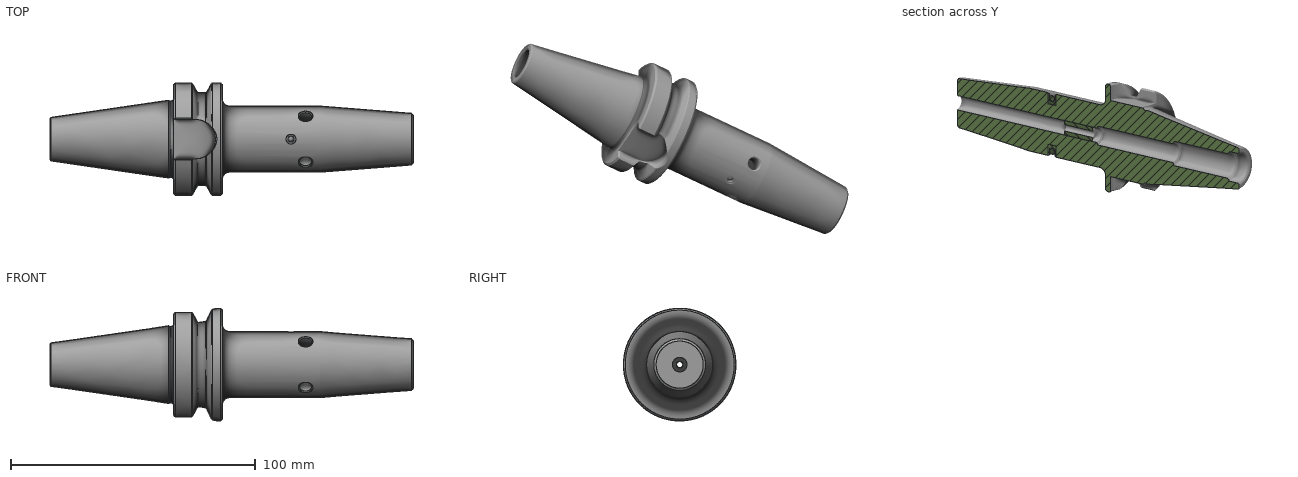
import cadquery as cq
import math

total_length = 148.4

gauge_x = 48.4
gauge_diameter = 31.8
taper_ratio = 7 / 24
shank_edge_chamfer = 0.5
relief_x = 49.0
relief_diameter = 31.2
relief_fillet = 1.0

flange_start_x = 50.5
flange_end_x = 70.3
flange_diameter = 46.0
flange_chamfer = 0.7
groove_center_x = 62.0
groove_bottom_diameter = 38.0
groove_bottom_width = 3.5
groove_wall_angle = math.radians(30)
groove_edge_chamfer = 0.5
groove_bottom_fillet = 0.5

keyway_width = 16.0
keyway_floor_height = 16.3
keyway_end_center_x = 59.5
keyway_edge_chamfer = 0.6
keyway_angles = [0, 180]

neck_fillet = 3.0
body_diameter = 27.0
body_end_x = 110.3
nose_angle = math.radians(4.5)
nose_chamfer = 0.9

mouth_diameter = 14.0
pilot_diameter = 12.5
pilot_depth = 5.0
thread_diameter = 10.2
thread_end_x = 34.1
passage_diameter = 7.9
passage_end_x = 74.2
tool_bore_diameter = 6.0
drill_half_angle = math.radians(59)
mouth_half_angle = math.radians(60)

stop_screw_x = 77.2
stop_screw_length = 14.8
stop_screw_face_diameter = 5.0
stop_screw_hole_diameter = 2.5
stop_screw_hole_mouth_diameter = 3.0

balance_hole_x = 104.3
balance_hole_diameter = 5.0
balance_mouth_diameter = 6.0
balance_hole_depth = 7.4
balance_angles = [45, 135, 225, 315]

plug_x = 98.4
plug_angles = [0, 180]
sleeve_diameter = 4.0
sleeve_length = 4.5
sleeve_recess = 0.3
ball_diameter = 2.5
ball_recess = 0.6

flange_radius = flange_diameter / 2
body_radius = body_diameter / 2
small_end_radius = (gauge_diameter - gauge_x * taper_ratio) / 2
nose_end_radius = body_radius - (total_length - body_end_x) * math.tan(nose_angle)
sleeve_top = body_radius - sleeve_recess
sleeve_bottom = sleeve_top - sleeve_length
ball_center_height = sleeve_top - ball_recess - ball_diameter / 2
overshoot = 1.5


def turned(profile):
    """Revolve an X-radius profile around the X axis."""
    return profile.close().revolve(360, (0, 0, 0), (1, 0, 0))


def placed_around_axis(shape, x, angle):
    """Move a shape built along +Z to position x and turn it around the X axis."""
    return shape.translate((x, 0, 0)).rotate((0, 0, 0), (1, 0, 0), angle)


def turned_radially(profile, x, angle):
    """Revolve a radius-height profile around a line that is radial to the X axis."""
    upright = profile.close().revolve(360, (0, 0, 0), (0, 1, 0)).rotate((0, 0, 0), (1, 0, 0), 90)
    return placed_around_axis(upright, x, angle)


def holder_blank():
    bottom_radius = groove_bottom_diameter / 2
    groove_left_x = groove_center_x - groove_bottom_width / 2
    groove_right_x = groove_center_x + groove_bottom_width / 2
    wall_run = (flange_radius - bottom_radius) * math.tan(groove_wall_angle)

    half_chamfer = groove_edge_chamfer / 2
    chamfer_radius = flange_radius - half_chamfer / math.tan(groove_wall_angle)

    tangent = groove_bottom_fillet * math.tan((math.pi / 2 - groove_wall_angle) / 2)
    tangent_run = tangent * math.sin(groove_wall_angle)
    tangent_radius = bottom_radius + tangent * math.cos(groove_wall_angle)

    profile = (
        cq.Workplane("XY")
        .lineTo(0, small_end_radius - shank_edge_chamfer)
        .lineTo(shank_edge_chamfer, small_end_radius + shank_edge_chamfer * taper_ratio / 2)
        .lineTo(gauge_x, gauge_diameter / 2)
        .lineTo(relief_x, relief_diameter / 2)
        .lineTo(flange_start_x - relief_fillet, relief_diameter / 2)
        .radiusArc((flange_start_x, relief_diameter / 2 + relief_fillet), -relief_fillet)
        .lineTo(flange_start_x, flange_radius - flange_chamfer)
        .lineTo(flange_start_x + flange_chamfer, flange_radius)
        .lineTo(groove_left_x - wall_run - half_chamfer, flange_radius)
        .lineTo(groove_left_x - wall_run + half_chamfer, chamfer_radius)
        .lineTo(groove_left_x - tangent_run, tangent_radius)
        .radiusArc((groove_left_x + tangent, bottom_radius), -groove_bottom_fillet)
        .lineTo(groove_right_x - tangent, bottom_radius)
        .radiusArc((groove_right_x + tangent_run, tangent_radius), -groove_bottom_fillet)
        .lineTo(groove_right_x + wall_run - half_chamfer, chamfer_radius)
        .lineTo(groove_right_x + wall_run + half_chamfer, flange_radius)
        .lineTo(flange_end_x - flange_chamfer, flange_radius)
        .lineTo(flange_end_x, flange_radius - flange_chamfer)
        .lineTo(flange_end_x, body_radius + neck_fillet)
        .radiusArc((flange_end_x + neck_fillet, body_radius), -neck_fillet)
        .lineTo(body_end_x, body_radius)
        .lineTo(total_length - nose_chamfer, nose_end_radius + nose_chamfer * math.tan(nose_angle))
        .lineTo(total_length, nose_end_radius - nose_chamfer)
        .lineTo(total_length, 0)
    )
    return turned(profile)


def stepped_bore():
    mouth_radius = mouth_diameter / 2
    pilot_radius = pilot_diameter / 2
    thread_radius = thread_diameter / 2
    passage_radius = passage_diameter / 2
    tool_radius = tool_bore_diameter / 2
    thread_cone_end_x = thread_end_x + (thread_radius - passage_radius) / math.tan(drill_half_angle)
    passage_cone_end_x = passage_end_x + (passage_radius - tool_radius) / math.tan(drill_half_angle)
    profile = (
        cq.Workplane("XY")
        .lineTo(0, mouth_radius)
        .lineTo((mouth_radius - pilot_radius) / math.tan(mouth_half_angle), pilot_radius)
        .lineTo(pilot_depth, pilot_radius)
        .lineTo(pilot_depth + pilot_radius - thread_radius, thread_radius)
        .lineTo(thread_end_x, thread_radius)
        .lineTo(thread_cone_end_x, passage_radius)
        .lineTo(passage_end_x, passage_radius)
        .lineTo(passage_cone_end_x, tool_radius)
        .lineTo(total_length, tool_radius)
        .lineTo(total_length, 0)
    )
    return turned(profile)


def keyway(angle):
    half_width = keyway_width / 2
    chamfer = keyway_edge_chamfer
    rim_height = math.sqrt(flange_radius**2 - (half_width + chamfer) ** 2)

    slot = (
        cq.Workplane("XY", origin=(0, 0, keyway_floor_height))
        .moveTo(flange_start_x, -half_width - chamfer)
        .lineTo(flange_start_x + chamfer, -half_width)
        .lineTo(keyway_end_center_x, -half_width)
        .radiusArc((keyway_end_center_x, half_width), -half_width)
        .lineTo(flange_start_x + chamfer, half_width)
        .lineTo(flange_start_x, half_width + chamfer)
        .close()
        .extrude(flange_radius - keyway_floor_height)
    )
    side_chamfers = (
        cq.Workplane("YZ", origin=(flange_start_x, 0, 0))
        .moveTo(-half_width, rim_height - chamfer)
        .lineTo(half_width, rim_height - chamfer)
        .lineTo(half_width + 2 * chamfer, rim_height + chamfer)
        .lineTo(-half_width - 2 * chamfer, rim_height + chamfer)
        .close()
        .extrude(keyway_end_center_x - flange_start_x)
    )
    end_chamfer = (
        cq.Workplane("XY", origin=(keyway_end_center_x, 0, flange_radius))
        .circle(half_width + chamfer)
        .workplane(offset=-chamfer)
        .circle(half_width)
        .loft()
    )
    cutter = slot.union(side_chamfers).union(end_chamfer)
    return placed_around_axis(cutter, 0, angle)


def balance_hole(angle):
    hole_radius = balance_hole_diameter / 2
    mouth_radius = balance_mouth_diameter / 2
    floor_height = body_radius - balance_hole_depth
    mouth_height = math.sqrt(body_radius**2 - mouth_radius**2)
    profile = (
        cq.Workplane("XY")
        .moveTo(0, floor_height)
        .lineTo(hole_radius, floor_height)
        .lineTo(hole_radius, mouth_height - (mouth_radius - hole_radius))
        .lineTo(mouth_radius, mouth_height)
        .lineTo(mouth_radius, body_radius + overshoot)
        .lineTo(0, body_radius + overshoot)
    )
    return turned_radially(profile, balance_hole_x, angle)


def plug_hole(angle):
    profile = (
        cq.Workplane("XY")
        .moveTo(0, sleeve_bottom)
        .lineTo(sleeve_diameter / 2, sleeve_bottom)
        .lineTo(sleeve_diameter / 2, body_radius + overshoot)
        .lineTo(0, body_radius + overshoot)
    )
    return turned_radially(profile, plug_x, angle)


def make_holder():
    holder = holder_blank().cut(stepped_bore())
    for angle in keyway_angles:
        holder = holder.cut(keyway(angle))
    for angle in balance_angles:
        holder = holder.cut(balance_hole(angle))
    for angle in plug_angles:
        holder = holder.cut(plug_hole(angle))
    return holder.solids()


def make_stop_screw():
    outer_radius = tool_bore_diameter / 2
    face_radius = stop_screw_face_diameter / 2
    hole_radius = stop_screw_hole_diameter / 2
    hole_mouth_radius = stop_screw_hole_mouth_diameter / 2
    profile = (
        cq.Workplane("XY")
        .moveTo(0, hole_mouth_radius)
        .lineTo(0, face_radius)
        .lineTo(outer_radius - face_radius, outer_radius)
        .lineTo(stop_screw_length, outer_radius)
        .lineTo(stop_screw_length, hole_radius)
        .lineTo(hole_mouth_radius - hole_radius, hole_radius)
    )
    return turned(profile).translate((stop_screw_x, 0, 0))


def make_sleeve(angle):
    ball_radius = ball_diameter / 2
    cup_floor = ball_center_height - ball_radius
    profile = (
        cq.Workplane("XY")
        .moveTo(0, sleeve_bottom)
        .lineTo(sleeve_diameter / 2, sleeve_bottom)
        .lineTo(sleeve_diameter / 2, sleeve_top)
        .lineTo(ball_radius, sleeve_top)
        .lineTo(ball_radius, cup_floor)
        .lineTo(0, cup_floor)
    )
    return turned_radially(profile, plug_x, angle)


def make_ball(angle):
    sphere = cq.Workplane("YZ").sphere(ball_diameter / 2).translate((0, 0, ball_center_height))
    return placed_around_axis(sphere, plug_x, angle)


holder = make_holder()
stop_screw = make_stop_screw()
sleeves = [make_sleeve(angle).val() for angle in plug_angles]
balls = [make_ball(angle).val() for angle in plug_angles]

result = cq.Compound.makeCompound([holder.val(), stop_screw.val(), *sleeves, *balls])